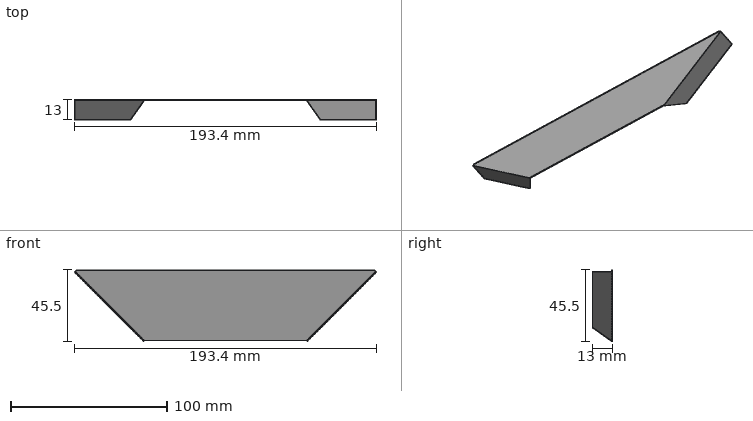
import cadquery as cq
import math

overall_width = 193.4
overall_depth = 13.0
overall_height = 45.47

sheet = 0.7

slant = math.sqrt(0.5)

flange_offset = slant * sheet

web_height = overall_height - flange_offset
web_bottom_width = 103.9

half_bottom = web_bottom_width / 2
half_widest = overall_width / 2 - flange_offset
flange_rise = half_widest - half_bottom
flange_length = flange_rise / slant
corner_cut = web_height - flange_rise
half_top = half_widest - corner_cut

end_cut = overall_depth - sheet


def make_web():
    """Flat plate with its rear face on Y = 0 and its lower edge on Z = 0."""
    outline = [
        (-half_bottom, 0),
        (half_bottom, 0),
        (half_widest, flange_rise),
        (half_top, web_height),
        (-half_top, web_height),
        (-half_widest, flange_rise),
    ]
    return cq.Workplane("XZ").polyline(outline).close().extrude(sheet)


def make_left_flange():
    """Flange square to the web along its left side, standing forward from the rear face."""
    inner_face = cq.Plane(
        origin=(-half_bottom, 0, 0),
        xDir=(-slant, 0, slant),
        normal=(-slant, 0, -slant),
    )
    outline = [
        (0, 0),
        (flange_length, 0),
        (flange_length, -overall_depth),
        (end_cut, -overall_depth),
        (0, -sheet),
    ]
    return cq.Workplane(inner_face).polyline(outline).close().extrude(sheet)


left_flange = make_left_flange()
right_flange = left_flange.mirror("YZ")
result = make_web().union(left_flange).union(right_flange)